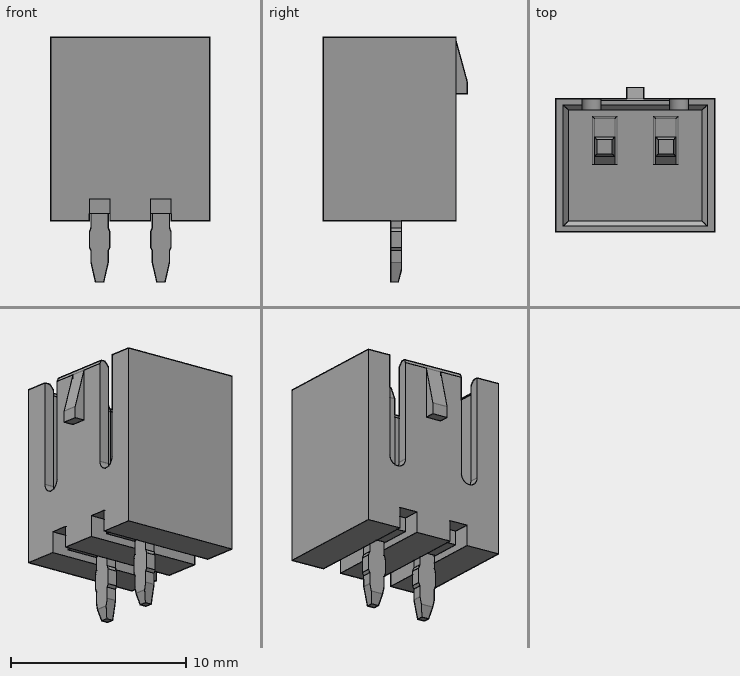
import cadquery as cq


width = 9.1
depth = 7.6
height = 10.5
side_wall = 0.73
front_wall = 0.62
back_wall = 0.63
floor_top = 3.8

side_mouth = 0.3
front_mouth = 0.3
back_mouth = 0.27
mouth_drop = 0.3

slot_width = 1.09
slot_spacing = 5.0
panel_width = slot_spacing - slot_width
panel_bevel = 0.1
panel_bevel_drop = 0.22
latch_width = 1.0
latch_reach = 0.65
latch_bottom = 7.25
latch_tip_top = 7.92
latch_top = height - panel_bevel_drop

pitch = 3.5
pin_width = 1.18
base_front = 3.84
base_back = 6.48
base_bottom = 0.42
post_front = 4.3
post_back = 5.42
post_top = 9.66
post_taper = 0.15
post_taper_height = 0.7
shoulder_height = 0.62

countersink_margin = 0.11
countersink_depth = 0.03

leg_front = 3.86
leg_width = 1.0
leg_thickness = 0.62
leg_tip_width = 0.48
leg_length = 3.5
bulge_start = -0.39
bulge_full_top = -0.62
bulge_full_bottom = -1.51
bulge_end = -1.7
leg_taper_start = -2.37
leg_bevel_start = -2.8
leg_bevel = 0.18

notch_height = 1.26


def block(x_min, x_max, y_min, y_max, z_min, z_max):
    """Box between two opposite corners."""
    size = (x_max - x_min, y_max - y_min, z_max - z_min)
    return cq.Workplane("XY").box(*size, centered=False).translate((x_min, y_min, z_min))


def side_profile(points, x_center, thickness):
    """Extrude a (Y, Z) outline along X, centred on x_center."""
    outline = cq.Workplane("YZ", origin=(x_center, 0, 0)).polyline(points).close()
    return outline.extrude(thickness / 2, both=True)


def frustum(lower, upper, z_lower, z_upper):
    """Loft between two rectangles, each given as (x_min, x_max, y_min, y_max)."""
    solid = cq.Workplane("XY", origin=(0, 0, z_lower))
    for (x_min, x_max, y_min, y_max), rise in ((lower, 0), (upper, z_upper - z_lower)):
        corners = [(x_min, y_min), (x_max, y_min), (x_max, y_max), (x_min, y_max)]
        solid = solid.workplane(offset=rise).polyline(corners).close()
    return solid.loft(ruled=True)


def make_shell():
    """Housing block with its cavity and the chamfered mouth."""
    cavity_x = width / 2 - side_wall
    cavity_back = depth - back_wall
    mouth_x = cavity_x + side_mouth
    cavity = (-cavity_x, cavity_x, front_wall, cavity_back)
    mouth = (-mouth_x, mouth_x, front_wall - front_mouth, cavity_back + back_mouth)
    shell = block(-width / 2, width / 2, 0, depth, 0, height)
    shell = shell.cut(block(*cavity, floor_top, height))
    return shell.cut(frustum(cavity, mouth, height - mouth_drop, height))


def make_wall_slot(x_center):
    """Cutter for a slot through the back wall, ending in a half circle at the floor."""
    radius = slot_width / 2
    arc_z = floor_top + radius
    return (
        cq.Workplane("XZ", origin=(x_center, depth, 0))
        .moveTo(-radius, height)
        .lineTo(-radius, arc_z)
        .threePointArc((0, floor_top), (radius, arc_z))
        .lineTo(radius, height)
        .close()
        .extrude(back_wall)
    )


def make_panel_bevel():
    """Cutter for the outer top edge of the latch panel."""
    points = [(depth, height), (depth - panel_bevel, height), (depth, height - panel_bevel_drop)]
    return side_profile(points, 0, panel_width)


def make_latch():
    """Ramped catch on the outside of the latch panel."""
    latch_tip = depth + latch_reach
    points = [
        (depth - back_wall, latch_bottom),
        (latch_tip, latch_bottom),
        (latch_tip, latch_tip_top),
        (depth, latch_top),
        (depth - back_wall, latch_top - mouth_drop),
    ]
    return side_profile(points, 0, latch_width)


def make_countersink(x_center):
    """Cutter for the shallow slope around a pin where it leaves the floor."""
    x_min = x_center - pin_width / 2
    x_max = x_center + pin_width / 2
    lower = (x_min, x_max, base_front, base_back)
    margin = countersink_margin
    upper = (x_min - margin, x_max + margin, base_front, base_back + margin)
    return frustum(lower, upper, floor_top - countersink_depth, floor_top)


def make_post(x_center):
    """Upright contact with a tapered tip and a sloped front shoulder, on a base in the floor."""
    x_min = x_center - pin_width / 2
    x_max = x_center + pin_width / 2
    base_top = floor_top - countersink_depth
    taper_base = post_top - post_taper_height
    profile = [
        (base_front, base_bottom),
        (base_back, base_bottom),
        (base_back, base_top),
        (post_back, base_top),
        (post_back, taper_base),
        (post_front, taper_base),
        (post_front, base_top + shoulder_height),
        (base_front, base_top),
    ]
    tip_base = (x_min, x_max, post_front, post_back)
    tip_top = (x_min + post_taper, x_max - post_taper, post_front + post_taper, post_back - post_taper)
    tip = frustum(tip_base, tip_top, taper_base, post_top)
    return side_profile(profile, x_center, pin_width).union(tip)


def make_leg(x_center):
    """Flat solder leg with a press-in bulge and a pointed end."""
    right_edge = [
        (leg_width / 2, base_bottom),
        (leg_width / 2, bulge_start),
        (pin_width / 2, bulge_full_top),
        (pin_width / 2, bulge_full_bottom),
        (leg_width / 2, bulge_end),
        (leg_width / 2, leg_taper_start),
        (leg_tip_width / 2, -leg_length),
    ]
    left_edge = [(-x, z) for x, z in reversed(right_edge)]
    leg_back = leg_front + leg_thickness
    leg = (
        cq.Workplane("XZ", origin=(x_center, leg_back, 0))
        .polyline(right_edge + left_edge)
        .close()
        .extrude(leg_thickness)
    )
    bevel = [(leg_back, leg_bevel_start), (leg_back, -leg_length), (leg_back - leg_bevel, -leg_length)]
    return leg.cut(side_profile(bevel, x_center, leg_width))


result = make_shell()

for side in (-1, 1):
    result = result.cut(make_wall_slot(side * slot_spacing / 2))
result = result.cut(make_panel_bevel()).union(make_latch())

for side in (-1, 1):
    pin_x = side * pitch / 2
    result = result.cut(block(pin_x - pin_width / 2, pin_x + pin_width / 2, 0, depth, 0, notch_height))
    result = result.cut(make_countersink(pin_x))
    result = result.union(make_post(pin_x)).union(make_leg(pin_x))